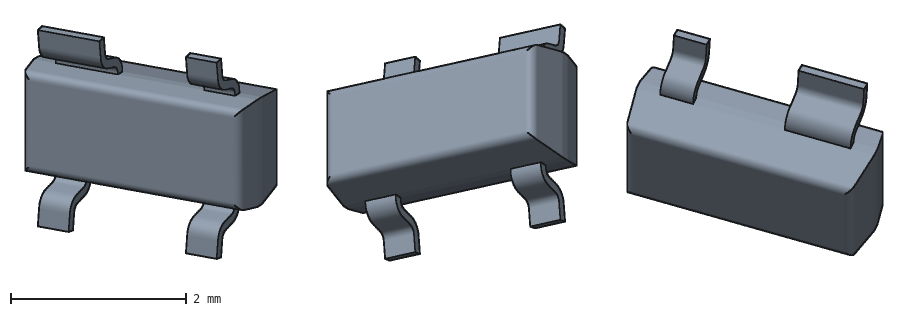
import cadquery as cq
import math

BODY_LENGTH = 2.9
BODY_WIDTH = 1.3
BACK_DEPTH = 0.55
FRONT_DEPTH = 0.34
DRAFT_ANGLE = 8.0
FACE_FILLET = 0.1

LEAD_THICKNESS = 0.11
LEAD_INNER_RADIUS = 0.1
STUB_LENGTH = 0.017
SHANK_LENGTH = 0.17
FOOT_LENGTH = 0.218
SHANK_HEADING = 78.0
FOOT_HEADING = 8.0

NARROW_WIDTH = 0.4
WIDE_WIDTH = 2 * NARROW_WIDTH
LEAD_OUTER_EDGE = 1.16

HALF_THICKNESS = LEAD_THICKNESS / 2
BEND_RADIUS = LEAD_INNER_RADIUS + HALF_THICKNESS
NARROW_CENTER = LEAD_OUTER_EDGE - NARROW_WIDTH / 2
WIDE_CENTER = LEAD_OUTER_EDGE - WIDE_WIDTH / 2


def drafted_half(start_y, depth):
    """Tapered block growing from the band at start_y; a negative depth grows towards -Y."""
    return (
        cq.Workplane("XZ", origin=(0, start_y, 0))
        .rect(BODY_LENGTH, BODY_WIDTH)
        .extrude(-depth, taper=DRAFT_ANGLE)
    )


def make_housing():
    """Band with its two drafted halves, rounded around the back and front faces."""
    band = (
        cq.Workplane("XZ", origin=(0, HALF_THICKNESS, 0))
        .rect(BODY_LENGTH, BODY_WIDTH)
        .extrude(LEAD_THICKNESS)
    )
    back = drafted_half(HALF_THICKNESS, BACK_DEPTH)
    front = drafted_half(-HALF_THICKNESS, -FRONT_DEPTH)
    housing = band.union(back).union(front)
    return housing.faces("<Y or >Y").edges().fillet(FACE_FILLET)


def point_along(start, heading, length):
    """Point at a length from start; heading is in degrees from +Z towards -Y."""
    angle = math.radians(heading)
    return (start[0] - length * math.sin(angle), start[1] + length * math.cos(angle))


def lead_edge(offset):
    """Points, from root to tip, of the lead edge at an offset towards +Y from the centreline."""
    root = (offset, BODY_WIDTH / 2)
    stub_end = point_along(root, 0, STUB_LENGTH)

    first_radius = BEND_RADIUS + offset
    first_center = point_along(stub_end, 90, first_radius)
    first_middle = point_along(first_center, SHANK_HEADING / 2 - 90, first_radius)
    shank_start = point_along(first_center, SHANK_HEADING - 90, first_radius)
    shank_end = point_along(shank_start, SHANK_HEADING, SHANK_LENGTH)

    second_radius = BEND_RADIUS - offset
    second_center = point_along(shank_end, SHANK_HEADING - 90, second_radius)
    second_middle = point_along(second_center, (SHANK_HEADING + FOOT_HEADING) / 2 + 90, second_radius)
    foot_start = point_along(second_center, FOOT_HEADING + 90, second_radius)
    foot_end = point_along(foot_start, FOOT_HEADING, FOOT_LENGTH)

    return {
        "root": root,
        "stub_end": stub_end,
        "first_middle": first_middle,
        "shank_start": shank_start,
        "shank_end": shank_end,
        "second_middle": second_middle,
        "foot_start": foot_start,
        "foot_end": foot_end,
    }


def make_lead(center_x, width, side):
    """Lead leaving the top (side = 1) or bottom (side = -1) wall of the housing."""
    outer = lead_edge(HALF_THICKNESS)
    inner = lead_edge(-HALF_THICKNESS)

    lead = (
        cq.Workplane("YZ", origin=(center_x, 0, 0))
        .moveTo(*outer["root"])
        .lineTo(*outer["stub_end"])
        .threePointArc(outer["first_middle"], outer["shank_start"])
        .lineTo(*outer["shank_end"])
        .threePointArc(outer["second_middle"], outer["foot_start"])
        .lineTo(*outer["foot_end"])
        .lineTo(*inner["foot_end"])
        .lineTo(*inner["foot_start"])
        .threePointArc(inner["second_middle"], inner["shank_end"])
        .lineTo(*inner["shank_start"])
        .threePointArc(inner["first_middle"], inner["stub_end"])
        .lineTo(*inner["root"])
        .close()
        .extrude(width / 2, both=True)
    )
    if side < 0:
        lead = lead.mirror("XY")
    return lead


housing = make_housing()

LEAD_LAYOUT = [
    (-WIDE_CENTER, WIDE_WIDTH, 1),
    (NARROW_CENTER, NARROW_WIDTH, 1),
    (-NARROW_CENTER, NARROW_WIDTH, -1),
    (NARROW_CENTER, NARROW_WIDTH, -1),
]
leads = [make_lead(center_x, width, side) for center_x, width, side in LEAD_LAYOUT]

result = cq.Compound.makeCompound([housing.val(), *[lead.val() for lead in leads]])